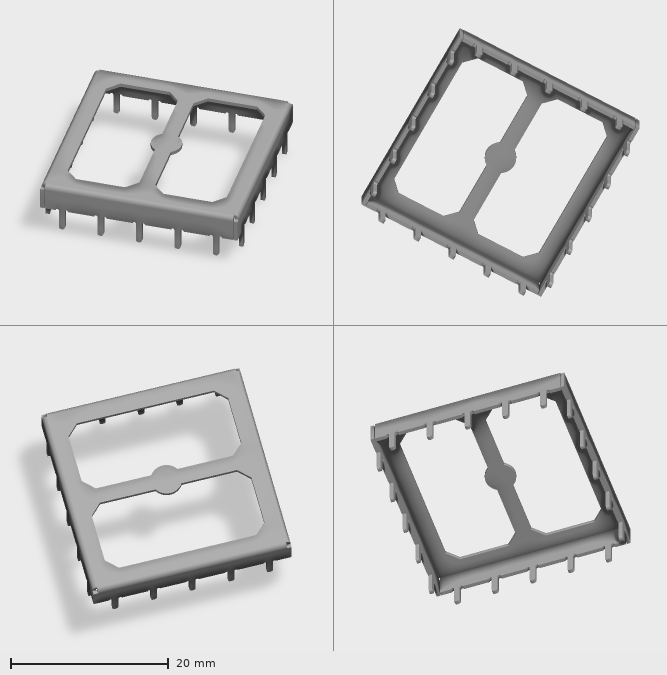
import cadquery as cq

side = 26.0
height = 6.4
sheet = 0.5
bend_radius = 0.6
corner_gap = 0.1
wall_depth = 3.5

pin_count = 5
pin_pitch = 5.07
pin_width = 0.78
pin_tip_radius = 0.35
relief_radius = 0.2

window_reach = 10.48
window_corner = 1.48
bar_width = 2.08
hub_radius = 2.0

half_side = side / 2
half_plate = half_side - bend_radius
half_short_wall = half_side - sheet - corner_gap
wall_bottom = height - wall_depth
wall_top = height - bend_radius
plate_bottom = height - sheet


def make_plate():
    """Flat top with two chamfered windows and a round hub in the middle of the bar."""
    plane = cq.Workplane("XY", origin=(0, 0, plate_bottom))
    plate = plane.rect(2 * half_plate, 2 * half_plate).extrude(sheet)
    window_width = window_reach - bar_width / 2
    window_centre = (window_reach + bar_width / 2) / 2
    windows = (
        plane.pushPoints([(-window_centre, 0), (window_centre, 0)])
        .rect(window_width, 2 * window_reach)
        .extrude(sheet)
        .edges("|Z").chamfer(window_corner)
    )
    hub = plane.circle(hub_radius).extrude(sheet)
    return plate.cut(windows).union(hub)


def make_bend():
    """Quarter-round strip joining the plate to the wall on the -Y side."""
    inner_radius = bend_radius - sheet
    plane = cq.Workplane("YZ", origin=(-half_plate, -half_plate, wall_top))
    ring = plane.circle(bend_radius).circle(inner_radius).extrude(2 * half_plate)
    quadrant = plane.rect(-bend_radius, bend_radius, centered=False).extrude(2 * half_plate)
    return ring.intersect(quadrant)


def make_wall(half_length):
    """Wall on the -Y side with its relief notches and pins."""
    plane = cq.Workplane("XZ", origin=(0, -half_side + sheet, 0))
    wall = (
        plane.center(0, (wall_top + wall_bottom) / 2)
        .rect(2 * half_length, wall_top - wall_bottom)
        .extrude(sheet)
    )

    pin_places = [(i - (pin_count - 1) / 2) * pin_pitch for i in range(pin_count)]
    relief_offset = pin_width / 2 + relief_radius
    relief_places = [(x + sign * relief_offset, wall_bottom) for x in pin_places for sign in (-1, 1)]
    reliefs = plane.pushPoints(relief_places).circle(relief_radius).extrude(sheet)

    pin_length = wall_bottom + relief_radius
    pins = (
        plane.pushPoints([(x, pin_length / 2) for x in pin_places])
        .rect(pin_width, pin_length)
        .extrude(sheet)
        .edges("|Y and (not >Z)").fillet(pin_tip_radius)
    )
    return wall.cut(reliefs).union(pins)


def turned(body, angle):
    return body.rotate((0, 0, 0), (0, 0, 1), angle)


bend = make_bend()
short_wall = make_wall(half_short_wall)
long_wall = make_wall(half_side)

result = make_plate()
for turn in range(4):
    wall = short_wall if turn % 2 == 0 else long_wall
    result = result.union(turned(bend.union(wall), 90 * turn))